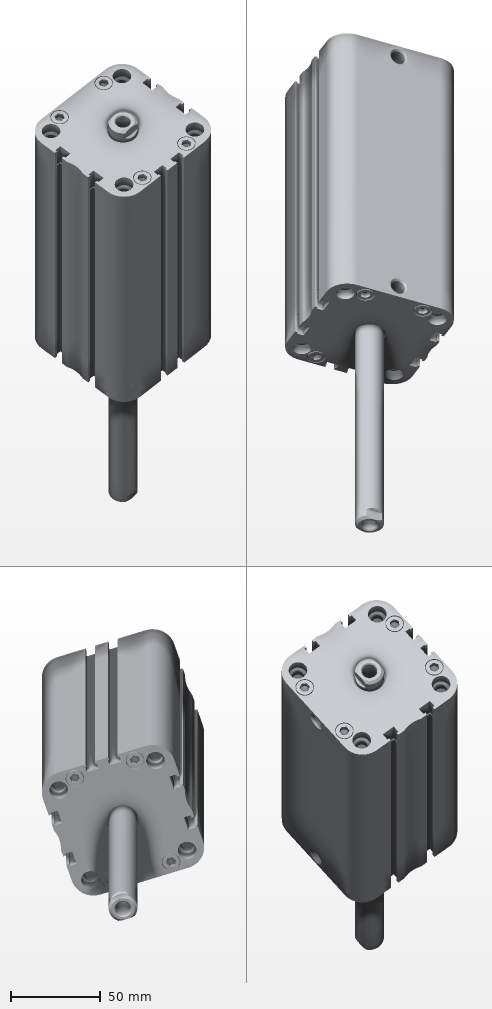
import cadquery as cq
import math

TOTAL_LENGTH = 315.0
ROD_STICKOUT_TOP = 8.0
ROD_STICKOUT_BOTTOM = 133.2
CAP_HEIGHT = 13.2
BODY_TOP = TOTAL_LENGTH - ROD_STICKOUT_TOP
BODY_BOTTOM = ROD_STICKOUT_BOTTOM
BARREL_LENGTH = BODY_TOP - BODY_BOTTOM - 2 * CAP_HEIGHT

BODY_WIDTH = 77.0
HALF_WIDTH = BODY_WIDTH / 2
CORNER_RADIUS = 12.5

GROOVE_WIDTH = 12.3
GROOVE_DEPTH = 1.1

SLOT_MOUTH = 5.5
SLOT_LIP = 1.5
SLOT_WIDTH = 7.0
SLOT_DEPTH = 4.7
CAP_Y_SLOT_WIDTH = 8.0
CAP_Y_SLOT_DEPTH = 5.7
Y_SIDE_SLOT_OFFSET = 13.0
X_SIDE_SLOT_OFFSET = 6.5

ROD_DIAMETER = 16.0
ROD_CHAMFER_RADIAL = 1.5
ROD_CHAMFER_AXIAL = 1.3
FLAT_WIDTH = 13.0
FLAT_LENGTH = 5.7
FLAT_RUNOUT = 1.0
ROD_HOLE_DIAMETER = 8.5
ROD_HOLE_DEPTH = 19.0
ROD_HOLE_MOUTH_DIAMETER = 9.8
DRILL_POINT_ANGLE = 118.0

SEAL_RECESS_DIAMETER = 18.0
SEAL_RECESS_DEPTH = 1.5
CORNER_HOLE_OFFSET = 28.5
CORNER_BORE_DIAMETER = 10.5
CORNER_BORE_DEPTH = 6.3
CORNER_SEAT_DIAMETER = 8.0
CORNER_HOLE_DIAMETER = 6.5
CORNER_HOLE_DEPTH = 11.0
SCREW_X = 32.0
SCREW_Y = 17.5
SCREW_RECESS_DIAMETER = 10.5
SCREW_HEAD_DIAMETER = 9.5
SCREW_RECESS_DEPTH = 1.5
HEX_ACROSS_FLATS = 5.0
HEX_SIDES = 6
HEX_DEPTH = 3.0
PORT_FROM_OUTER_FACE = 7.2
PORT_MOUTH_DIAMETER = 10.5
PORT_DIAMETER = 8.5
PORT_DEPTH = 9.5


def t_slot(length, width, depth):
    """T-slot cutter opening at y = 0 and reaching into -y, extruded up from z = 0."""
    mouth = cq.Workplane("XY").rect(SLOT_MOUTH, 2 * depth).extrude(length)
    undercut = cq.Workplane("XY").center(0, -(depth + SLOT_LIP) / 2).rect(width, depth - SLOT_LIP)
    return mouth.union(undercut.extrude(length))


def profile_block(length, y_slot_width, y_slot_depth):
    """Slotted square profile standing on z = 0, with a bore for the rod."""
    block = cq.Workplane("XY").rect(BODY_WIDTH, BODY_WIDTH).extrude(length)
    block = block.edges("|Z").fillet(CORNER_RADIUS)
    block = block.cut(cq.Workplane("XY").circle(ROD_DIAMETER / 2).extrude(length))

    y_side_slot = t_slot(length, y_slot_width, y_slot_depth)
    x_side_slot = t_slot(length, SLOT_WIDTH, SLOT_DEPTH)
    slot_sides = (
        (0, y_side_slot, Y_SIDE_SLOT_OFFSET),
        (180, y_side_slot, Y_SIDE_SLOT_OFFSET),
        (-90, x_side_slot, X_SIDE_SLOT_OFFSET),
    )
    groove_radius = ((GROOVE_WIDTH / 2) ** 2 + GROOVE_DEPTH**2) / (2 * GROOVE_DEPTH)
    groove = cq.Workplane("XY").center(0, groove_radius - GROOVE_DEPTH).circle(groove_radius).extrude(length)

    for turn, slot, offset in slot_sides:
        for sign in (-1, 1):
            cutter = slot.translate((sign * offset, HALF_WIDTH, 0))
            block = block.cut(cutter.rotate((0, 0, 0), (0, 0, 1), turn))
    for turn in (0, 180):
        block = block.cut(groove.translate((0, HALF_WIDTH, 0)).rotate((0, 0, 0), (0, 0, 1), turn))
    return block


def corner_hole():
    """Stepped corner hole cutter, opening at z = 0 and running down."""
    seat_end = CORNER_BORE_DEPTH + (CORNER_SEAT_DIAMETER - CORNER_HOLE_DIAMETER) / 2
    return (
        cq.Workplane("XZ")
        .polyline([
            (0, 0),
            (CORNER_BORE_DIAMETER / 2, 0),
            (CORNER_BORE_DIAMETER / 2, -CORNER_BORE_DEPTH),
            (CORNER_SEAT_DIAMETER / 2, -CORNER_BORE_DEPTH),
            (CORNER_HOLE_DIAMETER / 2, -seat_end),
            (CORNER_HOLE_DIAMETER / 2, -CORNER_HOLE_DEPTH),
            (0, -CORNER_HOLE_DEPTH),
        ])
        .close()
        .revolve(360, (0, 0, 0), (0, 1, 0))
    )


def screw_recess(hex_turn):
    """Cutter that leaves a flush socket screw head: a ring gap and a hexagon socket."""
    ring = cq.Workplane("XY").circle(SCREW_RECESS_DIAMETER / 2).circle(SCREW_HEAD_DIAMETER / 2)
    across_corners = HEX_ACROSS_FLATS / math.cos(math.pi / HEX_SIDES)
    socket = cq.Workplane("XY").polygon(HEX_SIDES, across_corners).extrude(-HEX_DEPTH)
    return ring.extrude(-SCREW_RECESS_DEPTH).union(socket.rotate((0, 0, 0), (0, 0, 1), hex_turn))


def air_port():
    """Port cutter entering the -X side, with a chamfered mouth."""
    mouth_chamfer = (PORT_MOUTH_DIAMETER - PORT_DIAMETER) / 2
    return (
        cq.Workplane("XY")
        .polyline([
            (0, 0),
            (0, PORT_MOUTH_DIAMETER / 2),
            (mouth_chamfer, PORT_DIAMETER / 2),
            (PORT_DEPTH, PORT_DIAMETER / 2),
            (PORT_DEPTH, 0),
        ])
        .close()
        .revolve(360, (0, 0, 0), (1, 0, 0))
        .translate((-HALF_WIDTH, 0, CAP_HEIGHT - PORT_FROM_OUTER_FACE))
    )


def make_cap():
    """End cap standing on z = 0 with its outer face at the top."""
    cap = profile_block(CAP_HEIGHT, CAP_Y_SLOT_WIDTH, CAP_Y_SLOT_DEPTH)
    seal_recess = cq.Workplane("XY").circle(SEAL_RECESS_DIAMETER / 2).extrude(-SEAL_RECESS_DEPTH)
    cap = cap.cut(seal_recess.translate((0, 0, CAP_HEIGHT)))
    for x_sign in (-1, 1):
        screw = screw_recess(180 / HEX_SIDES if x_sign < 0 else 0)
        for y_sign in (-1, 1):
            corner = (x_sign * CORNER_HOLE_OFFSET, y_sign * CORNER_HOLE_OFFSET, CAP_HEIGHT)
            cap = cap.cut(corner_hole().translate(corner))
            cap = cap.cut(screw.translate((x_sign * SCREW_X, y_sign * SCREW_Y, CAP_HEIGHT)))
    return cap.cut(air_port())


def make_barrel():
    """Slotted barrel standing on z = 0."""
    return profile_block(BARREL_LENGTH, SLOT_WIDTH, SLOT_DEPTH)


def rod_end_cutter():
    """Cutter for the upper rod end: two wrench flats with sloped run-outs and a drilled hole."""
    rod_radius = ROD_DIAMETER / 2
    flat_x = FLAT_WIDTH / 2
    flat_end = TOTAL_LENGTH - FLAT_LENGTH
    flat = (
        cq.Workplane("XZ")
        .polyline([
            (flat_x, TOTAL_LENGTH),
            (flat_x, flat_end),
            (rod_radius, flat_end - FLAT_RUNOUT),
            (rod_radius, TOTAL_LENGTH),
        ])
        .close()
        .extrude(rod_radius, both=True)
    )
    hole_radius = ROD_HOLE_DIAMETER / 2
    mouth_radius = ROD_HOLE_MOUTH_DIAMETER / 2
    hole_end = TOTAL_LENGTH - ROD_HOLE_DEPTH
    point_length = hole_radius / math.tan(math.radians(DRILL_POINT_ANGLE / 2))
    hole = (
        cq.Workplane("XZ")
        .polyline([
            (0, TOTAL_LENGTH),
            (mouth_radius, TOTAL_LENGTH),
            (hole_radius, TOTAL_LENGTH - (mouth_radius - hole_radius)),
            (hole_radius, hole_end),
            (0, hole_end - point_length),
        ])
        .close()
        .revolve(360, (0, 0, 0), (0, 1, 0))
    )
    return hole.union(flat).union(flat.mirror("YZ"))


def make_rod():
    """Through rod with identical ends."""
    rod = cq.Workplane("XY").circle(ROD_DIAMETER / 2).extrude(TOTAL_LENGTH)
    rod = rod.faces(">Z").chamfer(ROD_CHAMFER_AXIAL, ROD_CHAMFER_RADIAL)
    rod = rod.faces("<Z").chamfer(ROD_CHAMFER_AXIAL, ROD_CHAMFER_RADIAL)
    upper_end = rod_end_cutter()
    lower_end = upper_end.mirror("XY", (0, 0, TOTAL_LENGTH / 2))
    return rod.cut(upper_end).cut(lower_end)


upper_cap = make_cap().translate((0, 0, BODY_TOP - CAP_HEIGHT))
lower_cap = make_cap().mirror("XY").translate((0, 0, BODY_BOTTOM + CAP_HEIGHT))
barrel = make_barrel().translate((0, 0, BODY_BOTTOM + CAP_HEIGHT))
rod = make_rod()

result = cq.Compound.makeCompound([
    barrel.val(),
    upper_cap.val(),
    lower_cap.val(),
    rod.val(),
])